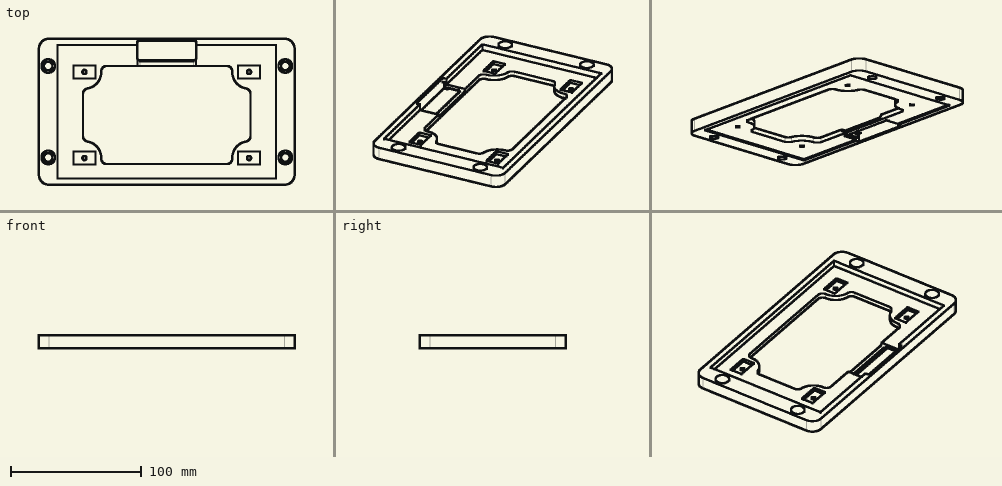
import cadquery as cq
length = 196.0
width = 112.0
thickness = 10.0
corner_radius = 8.0

pocket_length = 167.0
pocket_width = 102.0
floor_bottom_z = 1.0
floor_top_z = 5.0

mount_pitch_x = 181.5
mount_pitch_y = 70.0
mount_hole_diameter = 6.5
mount_bore_diameter = 10.5
mount_bore_depth = 8.0

screw_pitch_x = 126.0
screw_pitch_y = 66.0
display_center_y = -2.5
screw_hole_diameter = 3.0
screw_recess_length = 17.0
screw_recess_width = 10.0
screw_recess_depth = 2.5

opening_length = 128.0
opening_width = 75.0
pad_radius = 13.0
opening_fillet = 4.0

window_length = 45.0
window_front_y = 39.5
window_back_y = 54.0
window_front_radius = 1.5
window_back_radius = 1.0

relief_length = 48.0
floor_relief_top_z = 2.5
rim_relief_top_z = 6.5
pocket_wall_web = 1.0

groove_floor_z = 3.0
groove_fillet = 2.0
lip_chamfer = 1.0

opening_center_y = display_center_y
opening_back_y = opening_center_y + opening_width / 2
opening_front_y = opening_center_y - opening_width / 2
rim_relief_front_y = pocket_width / 2 + pocket_wall_web


def block(size_x, y_min, y_max, z_min, z_max):
    """Box centred on X = 0, given by its Y and Z limits."""
    return (
        cq.Workplane("XY", origin=(0, (y_min + y_max) / 2, z_min))
        .rect(size_x, y_max - y_min)
        .extrude(z_max - z_min)
    )


def make_plate():
    plate = block(length, -width / 2, width / 2, 0, thickness)
    plate = plate.edges("|Z").fillet(corner_radius)
    pocket = block(pocket_length, -pocket_width / 2, pocket_width / 2, floor_top_z, thickness)
    underside = block(pocket_length, -pocket_width / 2, pocket_width / 2, 0, floor_bottom_z)
    return plate.cut(pocket).cut(underside)


def make_mount_cuts():
    """Through holes with wide bores sunk from the top face."""
    places = cq.Workplane("XY").rarray(mount_pitch_x, mount_pitch_y, 2, 2)
    holes = places.circle(mount_hole_diameter / 2).extrude(thickness)
    bore_places = cq.Workplane("XY", origin=(0, 0, thickness)).rarray(mount_pitch_x, mount_pitch_y, 2, 2)
    bores = bore_places.circle(mount_bore_diameter / 2).extrude(-mount_bore_depth)
    return holes.union(bores)


def screw_places(z):
    plane = cq.Workplane("XY", origin=(0, display_center_y, z))
    return plane.rarray(screw_pitch_x, screw_pitch_y, 2, 2)


def make_screw_cuts():
    """Through holes with rectangular recesses sunk into the floor."""
    holes = screw_places(0).circle(screw_hole_diameter / 2).extrude(floor_top_z)
    recesses = (
        screw_places(floor_top_z)
        .rect(screw_recess_length, screw_recess_width)
        .extrude(-screw_recess_depth)
    )
    return holes.union(recesses)


def make_opening():
    """Rectangle minus a round pad at each screw, with every corner rounded."""
    blank = block(opening_length, opening_front_y, opening_back_y, 0, floor_top_z)
    pads = screw_places(0).circle(pad_radius).extrude(floor_top_z)
    return blank.cut(pads).edges("|Z").fillet(opening_fillet)


def make_window():
    window = block(window_length, window_front_y, window_back_y, 0, thickness)
    window = window.edges("|Z and <Y").fillet(window_front_radius)
    return window.edges("|Z and >Y").fillet(window_back_radius)


def make_relief():
    under_floor = block(relief_length, window_front_y, window_back_y, 0, floor_relief_top_z)
    inside_rim = block(relief_length, rim_relief_front_y, window_back_y, 0, rim_relief_top_z)
    back_corners = block(
        window_length, window_back_y - window_back_radius, window_back_y, 0, rim_relief_top_z
    )
    return under_floor.union(inside_rim).union(back_corners)


def make_groove():
    """Round-bottomed groove, with a chamfer where its floor drops into the window."""
    groove_back_y = window_front_y + window_front_radius
    groove = block(window_length, opening_back_y, groove_back_y, groove_floor_z, thickness)
    groove = groove.edges("|Y and <Z").fillet(groove_fillet)
    flat_length = window_length - 2 * groove_fillet
    chamfer = (
        cq.Workplane("YZ", origin=(-flat_length / 2, 0, 0))
        .moveTo(window_front_y - lip_chamfer, groove_floor_z)
        .lineTo(window_front_y, groove_floor_z)
        .lineTo(window_front_y, groove_floor_z - lip_chamfer)
        .close()
        .extrude(flat_length)
    )
    return groove.union(chamfer)


result = make_plate()
for make_cut in (make_mount_cuts, make_screw_cuts, make_opening, make_window, make_relief, make_groove):
    result = result.cut(make_cut())